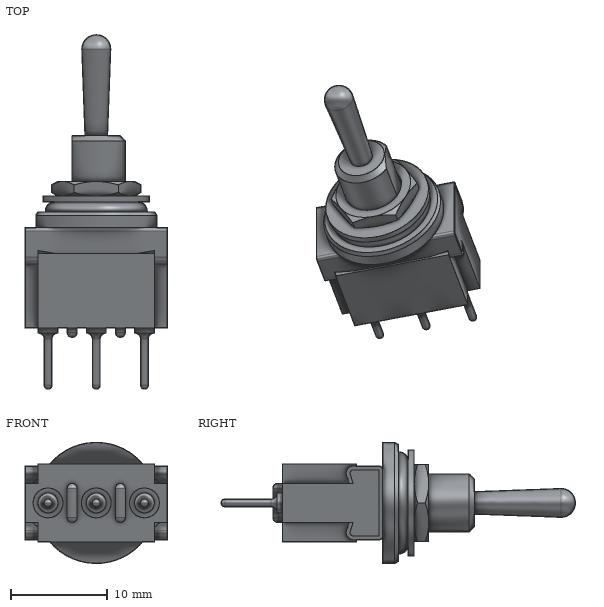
import cadquery as cq
import math


LEVER_TIP_Y = 20.02
LEVER_TIP_RADIUS = 1.5
LEVER_ROOT_RADIUS = 1.18

FLANGE_RADIUS = 6.3
FLANGE_THICKNESS = 1.62
FLANGE_CHAMFER_WIDTH = 0.22
FLANGE_CHAMFER_HEIGHT = 0.35
SHOULDER_RADIUS = 5.3
SHOULDER_HEIGHT = 1.03
SHOULDER_ROUND = 0.95
NECK_RADIUS = 3.0
NECK_TOP_Y = 9.53
NECK_CHAMFER = 0.55
NECK_FLAT_X = -2.55

WASHER_RADIUS = 5.52
WASHER_THICKNESS = 0.63
NUT_ACROSS_FLATS = 8.02
NUT_THICKNESS = 1.5
HEXAGON_HALF_ANGLE = math.pi / 6
NUT_CHAMFER_ANGLE = math.radians(30)

BODY_WIDTH = 14.8
BRACKET_HALF_HEIGHT = 3.83
SHEET_THICKNESS = 0.4
BRACKET_CORNER_RADIUS = 0.35
CURL_CENTER_DEPTH = 3.05
CURL_OUTER_RADIUS = 0.75
TAB_TILT = math.radians(17)
TAB_CORNER_CHAMFER = 0.5
RELIEF_DEPTH = 0.33
RELIEF_LENGTH = 2.02

STEM_HALF_HEIGHT = 2.02
BASE_DEPTH = 10.4
BLOCK_WIDTH = 12.15
BLOCK_HEIGHT = 8.1
BLOCK_START_DEPTH = 2.72
RIB_OFFSET = 2.5
RIB_RADIUS = 0.5
RIB_LENGTH = 4.05
RIB_HEIGHT = 1.0

PIN_PITCH = 5.0
PIN_POSITIONS = (-PIN_PITCH, 0, PIN_PITCH)
PIN_END_DEPTH = 16.78
PIN_RADIUS = 0.4
PIN_FOOT_RADIUS = 1.55
PIN_FOOT_DEPTH = 1.0
PIN_COLLAR_HEIGHT = 0.55
PIN_COLLAR_FILLET = 0.63

SHOULDER_TOP_Y = FLANGE_THICKNESS + SHOULDER_HEIGHT
WASHER_TOP_Y = SHOULDER_TOP_Y + WASHER_THICKNESS
SIDES = (-1, 1)


def spin(profile):
    """Revolve a closed profile, drawn with X as radius, about the Y axis."""
    return profile.close().revolve(360, (0, 0), (0, 1))


def disc(radius, start_y, length):
    """Cylinder along +Y that starts at start_y."""
    return cq.Workplane("XZ", origin=(0, start_y, 0)).circle(radius).extrude(-length)


def extrude_across(profile, width):
    """Extrude a closed YZ profile symmetrically about X = 0."""
    return profile.close().extrude(width / 2, both=True)


def make_lever():
    ball_center_y = LEVER_TIP_Y - LEVER_TIP_RADIUS
    ball_mid = LEVER_TIP_RADIUS * math.sqrt(0.5)
    return spin(
        cq.Workplane("XY")
        .moveTo(0, NECK_TOP_Y)
        .lineTo(LEVER_ROOT_RADIUS, NECK_TOP_Y)
        .lineTo(LEVER_TIP_RADIUS, ball_center_y)
        .threePointArc((ball_mid, ball_center_y + ball_mid), (0, LEVER_TIP_Y))
    )


def make_bushing():
    flange = spin(
        cq.Workplane("XY")
        .lineTo(FLANGE_RADIUS, 0)
        .lineTo(FLANGE_RADIUS, FLANGE_THICKNESS - FLANGE_CHAMFER_HEIGHT)
        .lineTo(FLANGE_RADIUS - FLANGE_CHAMFER_WIDTH, FLANGE_THICKNESS)
        .lineTo(0, FLANGE_THICKNESS)
    )
    shoulder = disc(SHOULDER_RADIUS, FLANGE_THICKNESS, SHOULDER_HEIGHT)
    shoulder = shoulder.faces(">Y").edges().fillet(SHOULDER_ROUND)
    neck_length = NECK_TOP_Y - SHOULDER_TOP_Y
    neck = disc(NECK_RADIUS, SHOULDER_TOP_Y, neck_length).faces(">Y").chamfer(NECK_CHAMFER)
    beyond_flat = (
        cq.Workplane("XY")
        .box(NECK_RADIUS, neck_length, 2 * NECK_RADIUS, centered=(True, False, True))
        .translate((NECK_FLAT_X - NECK_RADIUS / 2, SHOULDER_TOP_Y, 0))
    )
    return flange.union(shoulder).union(neck.cut(beyond_flat))


def make_washer():
    return disc(WASHER_RADIUS, SHOULDER_TOP_Y, WASHER_THICKNESS).cut(
        disc(NECK_RADIUS, SHOULDER_TOP_Y, WASHER_THICKNESS)
    )


def make_nut():
    flat_radius = NUT_ACROSS_FLATS / 2
    corner_radius = flat_radius / math.cos(HEXAGON_HALF_ANGLE)
    chamfer_height = (corner_radius - flat_radius) * math.tan(NUT_CHAMFER_ANGLE)
    top_y = WASHER_TOP_Y + NUT_THICKNESS
    hexagon = (
        cq.Workplane("XZ", origin=(0, WASHER_TOP_Y, 0))
        .polygon(6, 2 * corner_radius)
        .extrude(-NUT_THICKNESS)
    )
    corner_envelope = spin(
        cq.Workplane("XY")
        .moveTo(0, WASHER_TOP_Y)
        .lineTo(flat_radius, WASHER_TOP_Y)
        .lineTo(corner_radius, WASHER_TOP_Y + chamfer_height)
        .lineTo(corner_radius, top_y - chamfer_height)
        .lineTo(flat_radius, top_y)
        .lineTo(0, top_y)
    )
    return hexagon.intersect(corner_envelope).cut(disc(NECK_RADIUS, WASHER_TOP_Y, NUT_THICKNESS))


def curl_points(inset):
    """Start, middle and end of the curl arc and the tab tip, on the upper half, as (y, z).

    The points lie on the sheet surface that is inset from the bracket's outside.
    """
    radius = CURL_OUTER_RADIUS - inset
    center_z = BRACKET_HALF_HEIGHT - CURL_OUTER_RADIUS

    def on_arc(angle):
        return (-CURL_CENTER_DEPTH - radius * math.cos(angle), center_z + radius * math.sin(angle))

    arc_end = on_arc(-TAB_TILT)
    tip_y = arc_end[0] + (arc_end[1] - STEM_HALF_HEIGHT) * math.tan(TAB_TILT)
    arc_start = on_arc(math.pi / 2)
    arc_middle = on_arc((math.pi / 2 - TAB_TILT) / 2)
    return arc_start, arc_middle, arc_end, (tip_y, STEM_HALF_HEIGHT)


def mirrored(point):
    """The same (y, z) point on the lower half."""
    return (point[0], -point[1])


def channel_block(inset):
    """Solid bounded by the sheet surface at the given inset, closed across the tab tips."""
    start, middle, end, tip = curl_points(inset)
    front_y = -inset
    half_height = BRACKET_HALF_HEIGHT - inset
    return extrude_across(
        cq.Workplane("YZ")
        .moveTo(front_y, half_height)
        .lineTo(*start)
        .threePointArc(middle, end)
        .lineTo(*tip)
        .lineTo(*mirrored(tip))
        .lineTo(*mirrored(end))
        .threePointArc(mirrored(middle), mirrored(start))
        .lineTo(front_y, -half_height),
        BODY_WIDTH,
    )


def make_stem():
    """Full-width slab that runs from behind the bracket's front sheet to the rear face."""
    return (
        cq.Workplane("XY")
        .box(BODY_WIDTH, BASE_DEPTH - SHEET_THICKNESS, 2 * STEM_HALF_HEIGHT)
        .translate((0, -(BASE_DEPTH + SHEET_THICKNESS) / 2, 0))
    )


def make_block_opening():
    """Gap between the tabs for the block, with its front edge slanting forward at both ends."""
    half_width = BLOCK_WIDTH / 2
    relief_y = -BLOCK_START_DEPTH + RELIEF_DEPTH
    slant_end_x = half_width - RELIEF_LENGTH
    return (
        cq.Workplane("XY")
        .moveTo(-half_width, -BASE_DEPTH)
        .lineTo(-half_width, relief_y)
        .lineTo(-slant_end_x, -BLOCK_START_DEPTH)
        .lineTo(slant_end_x, -BLOCK_START_DEPTH)
        .lineTo(half_width, relief_y)
        .lineTo(half_width, -BASE_DEPTH)
        .close()
        .extrude(BRACKET_HALF_HEIGHT, both=True)
    )


def make_tab_corner_cut(side_x, side_z):
    """Wedge that chamfers the tip corner of one tab beside the block."""
    corner_x = side_x * BLOCK_WIDTH / 2
    corner_z = side_z * STEM_HALF_HEIGHT
    return (
        cq.Workplane("XZ", origin=(0, -BLOCK_START_DEPTH, 0))
        .moveTo(corner_x, corner_z)
        .lineTo(corner_x + side_x * TAB_CORNER_CHAMFER, corner_z)
        .lineTo(corner_x, corner_z + side_z * TAB_CORNER_CHAMFER)
        .close()
        .extrude(BASE_DEPTH - BLOCK_START_DEPTH)
    )


def make_bracket():
    outside = channel_block(0).edges("|X and >Y").fillet(BRACKET_CORNER_RADIUS)
    bracket = outside.cut(channel_block(SHEET_THICKNESS)).cut(make_stem()).cut(make_block_opening())
    for side_x in SIDES:
        for side_z in SIDES:
            bracket = bracket.cut(make_tab_corner_cut(side_x, side_z))
    return bracket


def make_rib(x):
    """Rib standing on the rear face, fully rounded along its crest and at both ends."""
    flank_height = RIB_HEIGHT - RIB_RADIUS
    ball_offset = RIB_LENGTH / 2 - RIB_RADIUS
    crest_y = -BASE_DEPTH - flank_height
    rib = (
        cq.Workplane("XZ", origin=(x, -BASE_DEPTH, 0))
        .slot2D(RIB_LENGTH, 2 * RIB_RADIUS, 90)
        .extrude(flank_height)
    )
    crest = cq.Workplane("XY", origin=(x, crest_y, -ball_offset)).circle(RIB_RADIUS).extrude(2 * ball_offset)
    rib = rib.union(crest)
    for side in SIDES:
        rib = rib.union(cq.Workplane("XY").sphere(RIB_RADIUS).translate((x, crest_y, side * ball_offset)))
    return rib


def make_base():
    block_length = BASE_DEPTH - BLOCK_START_DEPTH
    block = (
        cq.Workplane("XY")
        .box(BLOCK_WIDTH, block_length, BLOCK_HEIGHT)
        .translate((0, -(BASE_DEPTH + BLOCK_START_DEPTH) / 2, 0))
    )
    base = channel_block(SHEET_THICKNESS).union(make_stem()).union(block)
    for side in SIDES:
        base = base.union(make_rib(side * RIB_OFFSET))
    for x in PIN_POSITIONS:
        socket = disc(PIN_FOOT_RADIUS, -BASE_DEPTH, PIN_FOOT_DEPTH).translate((x, 0, 0))
        base = base.cut(socket)
    return base


def make_pin(x):
    """Pin with a foot sunk flush into the base, a collar, and a round-ended rod flaring into the collar."""
    foot_y = -BASE_DEPTH + PIN_FOOT_DEPTH
    collar_y = -BASE_DEPTH - PIN_COLLAR_HEIGHT
    flare_end_y = collar_y - PIN_COLLAR_FILLET
    collar_radius = PIN_RADIUS + PIN_COLLAR_FILLET
    flare_mid = PIN_COLLAR_FILLET * (1 - math.sqrt(0.5))
    round_start_y = -PIN_END_DEPTH + PIN_RADIUS
    round_mid = PIN_RADIUS * math.sqrt(0.5)
    pin = spin(
        cq.Workplane("XY")
        .moveTo(0, foot_y)
        .lineTo(PIN_FOOT_RADIUS, foot_y)
        .lineTo(PIN_FOOT_RADIUS, -BASE_DEPTH)
        .lineTo(collar_radius, -BASE_DEPTH)
        .lineTo(collar_radius, collar_y)
        .threePointArc((PIN_RADIUS + flare_mid, collar_y - flare_mid), (PIN_RADIUS, flare_end_y))
        .lineTo(PIN_RADIUS, round_start_y)
        .threePointArc((round_mid, round_start_y - round_mid), (0, -PIN_END_DEPTH))
    )
    return pin.translate((x, 0, 0))


lever = make_lever()
bushing = make_bushing()
washer = make_washer()
nut = make_nut()
bracket = make_bracket()
base = make_base()
pins = [make_pin(x) for x in PIN_POSITIONS]

result = cq.Compound.makeCompound(
    [
        lever.val(),
        bushing.val(),
        washer.val(),
        nut.val(),
        bracket.val(),
        base.val(),
        *[pin.val() for pin in pins],
    ]
)